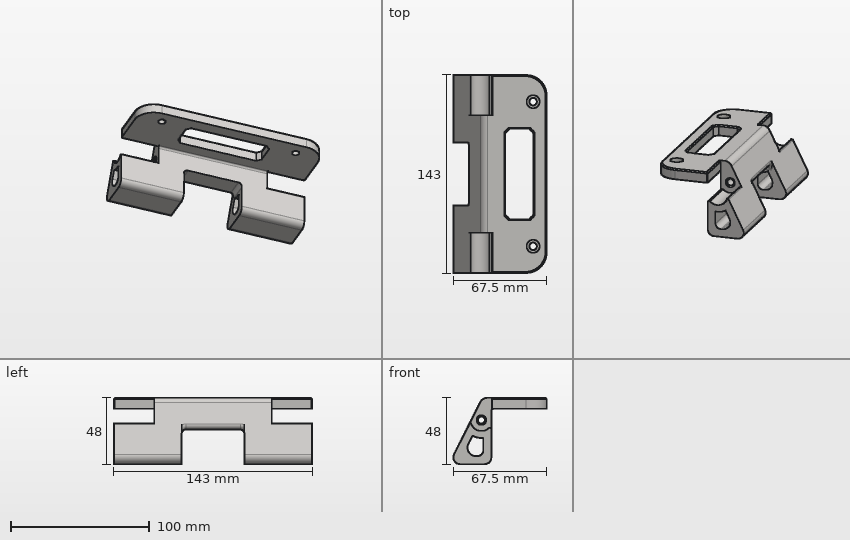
import cadquery as cq
import math

depth = 67.5
length = 143.0
height = 48.0

back_x = 27.6
lean_angle = math.radians(63.4)
foot_radius = 5.0
crown_radius = 6.0
web_length = 85.0

plate_thickness = 8.0
plate_corner_radius = 15.0
edge_chamfer = 1.0
ear_chamfer = 0.7
inside_fillet = 1.5

pin_x = 20.3
pin_z = 31.9
pin_diameter = 5.0
pin_chamfer = 1.0
trough_radius = 7.9
front_lip_z = 29.6
back_lip_z = 26.3
back_lip_fillet = 1.0
front_lip_fillet = 0.5

notch_length = 45.2
notch_z = 25.0
notch_radius = 3.0

wall = 6.0
channel_front_radius = 6.0
channel_back_radius = 4.0
channel_top_radius = 13.0

window_x = 47.8
window_width = 20.2
window_length = 65.0
window_corner = 3.0
screw_x = 57.6
screw_y = 52.2
screw_diameter = 5.3
counterbore_diameter = 9.5
counterbore_depth = 4.0

slope_base_x = foot_radius - foot_radius / math.tan(lean_angle / 2)


def slope_x(z, inset=0):
    """X of the sloping face, moved into the material by inset, at height z."""
    return slope_base_x + z / math.tan(lean_angle) + inset / math.sin(lean_angle)


def box_between(x0, x1, y0, y1, z0, z1):
    return cq.Workplane("XY").box(x1 - x0, y1 - y0, z1 - z0, centered=False).translate((x0, y0, z0))


def prism(points, width):
    """Extrude an XZ outline symmetrically about Y = 0."""
    return cq.Workplane("XZ").polyline(points).close().extrude(width / 2, both=True)


def pin_cylinder(radius, width):
    return cq.Workplane("XZ").center(pin_x, pin_z).circle(radius).extrude(width / 2, both=True)


def sharp_wedge(width):
    """Wedge with a rounded crown and a sharp base."""
    outline = [(slope_x(0), 0), (back_x, 0), (back_x, height), (slope_x(height), height)]
    return prism(outline, width).edges("|Y").edges(">Z").edges("<X").fillet(crown_radius)


def wedge(width):
    return sharp_wedge(width).edges("|Y").edges("<Z").fillet(foot_radius)


def notch_bay():
    """Full-height slice of space between the two legs."""
    return box_between(-depth, depth, -notch_length / 2, notch_length / 2, -height, 2 * height)


def make_web():
    """Central wedge with the notch; only the rim under the bridge is rounded."""
    notch = box_between(-depth, depth, -notch_length / 2, notch_length / 2, -height, notch_z)
    notch = notch.edges("|X and >Z").fillet(notch_radius)
    bridge = sharp_wedge(web_length).cut(notch)
    rim_point = (slope_x(notch_z), 0, notch_z)
    bridge = bridge.edges(cq.selectors.NearestToPointSelector(rim_point)).fillet(notch_radius)
    sides = wedge(web_length).cut(notch_bay())
    return bridge.intersect(notch_bay()).union(sides)


def make_legs():
    """Full-length lower wedge with the trough, split by the notch."""
    legs = wedge(length)
    legs = legs.cut(box_between(0, depth, -length, length, front_lip_z, height))
    legs = legs.cut(box_between(pin_x, depth, -length, length, back_lip_z, height))
    legs = legs.cut(pin_cylinder(trough_radius, length))
    legs = legs.edges(cq.selectors.NearestToPointSelector((back_x, 0, back_lip_z))).fillet(back_lip_fillet)
    front_lip = (slope_x(front_lip_z), 0, front_lip_z)
    legs = legs.edges(cq.selectors.NearestToPointSelector(front_lip)).fillet(front_lip_fillet)
    return legs.cut(notch_bay())


def make_plate():
    plate_z = height - plate_thickness
    plate = box_between(back_x, depth, -length / 2, length / 2, plate_z, height)
    plate = plate.edges("|Z and >X").fillet(plate_corner_radius)
    plate = plate.edges("|Z and <X").chamfer(ear_chamfer)
    window = (
        cq.Workplane("XY", origin=(window_x, 0, plate_z))
        .rect(window_width, window_length)
        .extrude(plate_thickness)
        .edges("|Z")
        .chamfer(window_corner)
    )
    plate = plate.cut(window)
    plate = plate.faces(">Z").edges().chamfer(edge_chamfer)
    return (
        plate.faces(">Z")
        .workplane(origin=(screw_x, 0, height))
        .pushPoints([(0, -screw_y), (0, screw_y)])
        .cboreHole(screw_diameter, counterbore_diameter, counterbore_depth)
    )


def make_junction():
    """Fill the plate's edge chamfer along the web and round the corner below the plate."""
    plate_z = height - plate_thickness
    bridge_end = back_x + edge_chamfer
    bridge = box_between(back_x, bridge_end, -web_length / 2, web_length / 2, plate_z, height)
    corner = box_between(
        back_x, back_x + inside_fillet, -web_length / 2, web_length / 2, plate_z - inside_fillet, plate_z
    )
    rounding = (
        cq.Workplane("XZ", origin=(back_x + inside_fillet, 0, plate_z - inside_fillet))
        .circle(inside_fillet)
        .extrude(web_length / 2, both=True)
    )
    return bridge.union(corner.cut(rounding))


def make_channel():
    """Channel whose walls follow the wedge faces and whose roof follows the trough."""
    outline = [
        (slope_x(wall, wall), wall),
        (back_x - wall, wall),
        (back_x - wall, pin_z),
        (slope_x(pin_z, wall), pin_z),
    ]
    channel = prism(outline, length)
    channel = channel.edges("|Y").edges("<Z").edges("<X").fillet(channel_front_radius)
    channel = channel.edges("|Y").edges("<Z").edges(">X").fillet(channel_back_radius)
    return channel.cut(pin_cylinder(channel_top_radius, length))


def make_pin_bore():
    bore = pin_cylinder(pin_diameter / 2, web_length)
    mouth_radius = pin_diameter / 2 + pin_chamfer
    for side in (-1, 1):
        axis = cq.Vector(0, -side, 0)
        mouth = cq.Vector(pin_x, side * web_length / 2, pin_z)
        flare = cq.Solid.makeCone(mouth_radius, pin_diameter / 2, pin_chamfer, mouth, axis)
        bore = bore.union(cq.Workplane(flare))
    return bore


body = make_web().union(make_legs()).union(make_plate()).union(make_junction())
result = body.cut(make_channel()).cut(make_pin_bore())